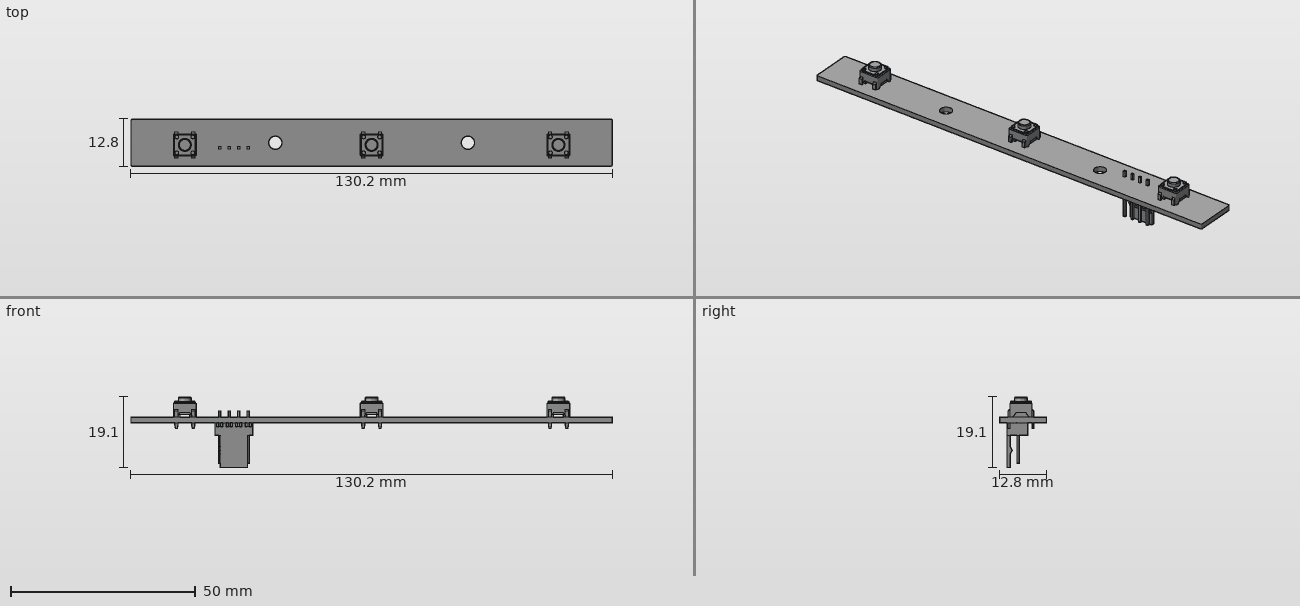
import cadquery as cq

board_length = 130.2
board_width = 12.8
board_thickness = 1.5
board_corner_radius = 0.4
mount_hole_diameter = 3.5
mount_hole_offset = 26.0

switch_pitch = 50.5
switch_y = -0.59
body_length = 6.3
body_width = 6.0
body_corner_radius = 0.4
body_top = 3.9
body_chamfer = 0.3
cover_size = 5.6
cover_corner_cut = 1.0
cover_top = 4.2
cap_diameter = 3.5
cap_top = 5.5
cap_chamfer = 0.3
rivet_diameter = 1.0
rivet_height = 0.1
rivet_spacing = 4.3

undercut_top_length = 2.6
undercut_bottom_length = 4.4
undercut_height = 1.2
undercut_depth = 0.5
slot_length = 2.6
slot_height = 0.7

lead_spacing = 4.5
lead_outer_y = 3.5
lead_thickness = 0.5
lead_width = 0.9
lead_top = 2.1
lead_bend_height = 1.7
lead_tip_width = 0.5
lead_shoulder_depth = 0.7
lead_depth = 1.5

header_x = -37.3
pin_count = 4
pin_row_length = 7.7
pin_pitch = pin_row_length / (pin_count - 1)
pin_size = 0.7
pin_front_y = -1.7
pin_height = 1.7
pin_depth = 11.0
base_length = 10.3
base_back_y = 1.3
base_front_y = -4.4
base_depth = 3.4
channel_width = 1.5
channel_depth = 1.0
wall_width = 7.4
wall_thickness = 0.98
wall_depth = 12.1
ridge_depth = 7.4
ridge_length = 2.1
ridge_height = 0.5


def block(x_size, y_range, z_range, x_center=0.0):
    """Box centred on x_center that spans the given Y and Z ranges."""
    y_size = y_range[1] - y_range[0]
    z_size = z_range[1] - z_range[0]
    box = cq.Workplane("XY").box(x_size, y_size, z_size, centered=(True, False, False))
    return box.translate((x_center, y_range[0], z_range[0]))


def make_board():
    """Rounded board with two mounting holes."""
    return (
        cq.Workplane("XY")
        .box(board_length, board_width, board_thickness, centered=(True, True, False))
        .edges("|Z")
        .fillet(board_corner_radius)
        .faces(">Z")
        .workplane()
        .pushPoints([(-mount_hole_offset, 0), (mount_hole_offset, 0)])
        .hole(mount_hole_diameter)
    )


def make_undercut(angle, side_distance):
    """Tapered recess cut into the body side that lies at the given angle and distance."""
    outline = [
        (-undercut_bottom_length / 2, 0),
        (-undercut_top_length / 2, undercut_height),
        (undercut_top_length / 2, undercut_height),
        (undercut_bottom_length / 2, 0),
    ]
    recess = cq.Workplane("XZ").polyline(outline).close().extrude(undercut_depth)
    recess = recess.translate((0, undercut_depth - side_distance, 0))
    return recess.rotate((0, 0, 0), (0, 0, 1), angle)


def make_body():
    """Switch body with rounded corners, a bevelled top and recesses at the bottom."""
    body_span = (-body_width / 2, body_width / 2)
    body = (
        block(body_length, body_span, (0, body_top))
        .edges("|Z")
        .fillet(body_corner_radius)
        .faces(">Z")
        .chamfer(body_chamfer)
        .cut(block(slot_length, body_span, (0, slot_height)))
    )
    for angle in (0, 180):
        body = body.cut(make_undercut(angle, body_width / 2))
        body = body.cut(make_undercut(angle + 90, body_length / 2))
    return body


def make_lead():
    """Lead on the +Y side, with a narrower tapered end below the board."""
    tip = -board_thickness - lead_depth
    shoulder = -board_thickness - lead_shoulder_depth
    inner_y = lead_outer_y - lead_thickness
    root_y = body_width / 2 - lead_thickness
    side = [
        (root_y, lead_top),
        (body_width / 2, lead_top),
        (lead_outer_y, lead_bend_height),
        (lead_outer_y, tip),
        (inner_y, tip),
        (inner_y, lead_bend_height - lead_thickness),
        (root_y, lead_bend_height - lead_thickness),
    ]
    face = [
        (-lead_width / 2, lead_top),
        (-lead_width / 2, shoulder),
        (-lead_tip_width / 2, tip),
        (lead_tip_width / 2, tip),
        (lead_width / 2, shoulder),
        (lead_width / 2, lead_top),
    ]
    strip = cq.Workplane("YZ").polyline(side).close().extrude(lead_width / 2, both=True)
    return strip.intersect(cq.Workplane("XZ").polyline(face).close().extrude(-body_width))


def make_switch():
    """Push-button switch standing on z = 0, centred in X and Y."""
    cover = (
        cq.Workplane("XY", origin=(0, 0, body_top))
        .rect(cover_size, cover_size)
        .extrude(cover_top - body_top)
        .edges("|Z")
        .chamfer(cover_corner_cut)
    )
    rivets = (
        cq.Workplane("XY", origin=(0, 0, body_top))
        .rect(rivet_spacing, rivet_spacing, forConstruction=True)
        .vertices()
        .circle(rivet_diameter / 2)
        .extrude(cover_top + rivet_height - body_top)
    )
    cap = (
        cq.Workplane("XY", origin=(0, 0, body_top))
        .circle(cap_diameter / 2)
        .extrude(cap_top - body_top)
        .faces(">Z")
        .chamfer(cap_chamfer)
    )
    switch = make_body().union(cover).union(rivets).union(cap)
    for x in (-lead_spacing / 2, lead_spacing / 2):
        for angle in (0, 180):
            lead = make_lead().rotate((0, 0, 0), (0, 0, 1), angle)
            switch = switch.union(lead.translate((x, 0, 0)))
    return switch


def make_wall():
    """Locking wall on the front of the header, with a ridge across its inner face."""
    inner_y = base_front_y + wall_thickness
    outline = [
        (base_front_y, -base_depth),
        (inner_y, -base_depth),
        (inner_y, -ridge_depth + ridge_length / 2),
        (inner_y + ridge_height, -ridge_depth),
        (inner_y, -ridge_depth - ridge_length / 2),
        (inner_y, -wall_depth),
        (base_front_y, -wall_depth),
    ]
    return cq.Workplane("YZ").polyline(outline).close().extrude(wall_width / 2, both=True)


def make_header():
    """Pin header hanging below z = 0, centred in X."""
    base_span = (base_front_y, base_back_y)
    pin_span = (pin_front_y, pin_front_y + pin_size)
    header = block(base_length, base_span, (-base_depth, 0)).union(make_wall())
    for i in range(pin_count):
        x = i * pin_pitch - pin_row_length / 2
        header = header.cut(block(channel_width, base_span, (-channel_depth, 0), x))
        header = header.union(block(pin_size, pin_span, (-pin_depth, board_thickness + pin_height), x))
    return header


result = make_board()
for column in (-1, 0, 1):
    switch_place = (column * switch_pitch, switch_y, board_thickness)
    result = result.union(make_switch().translate(switch_place))
result = result.union(make_header().translate((header_x, 0, 0)))